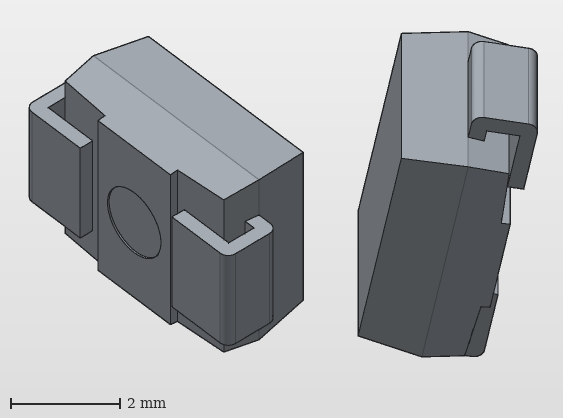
import cadquery as cq
import math


overall_length = 5.59
overall_height = 2.45
body_width = 3.94
body_length = 4.57

draft_angle = 7.0
parting_height = 1.23
standoff = 0.20
pad_length = 2.00
pad_root_height = 0.37
shoulder_height = 0.45
mark_diameter = 1.475
mark_depth = 0.04

lead_width = 2.21
lead_thickness = 0.305
lead_bend_radius = 0.20
foot_length = 1.53

draft_slope = math.tan(math.radians(draft_angle))


def drafted(half_size, height):
    """Half size of the body at a height, after draft away from the parting line."""
    return half_size - draft_slope * abs(height - parting_height)


def make_body():
    """Drafted body: the side outline in XY crossed with the end outline in ZY."""
    half_length = body_length / 2
    half_pad = pad_length / 2
    right_side = [
        (half_pad, standoff),
        (half_pad, pad_root_height),
        (drafted(half_length, shoulder_height), shoulder_height),
        (half_length, parting_height),
        (drafted(half_length, overall_height), overall_height),
    ]
    left_side = [(-x, y) for x, y in reversed(right_side)]
    side_prism = (
        cq.Workplane("XY")
        .polyline(right_side + left_side)
        .close()
        .extrude(body_width / 2, both=True)
    )

    half_width = body_width / 2
    upper_end = [
        (standoff, drafted(half_width, standoff)),
        (parting_height, half_width),
        (overall_height, drafted(half_width, overall_height)),
    ]
    lower_end = [(y, -z) for y, z in reversed(upper_end)]
    end_prism = (
        cq.Workplane("YZ")
        .polyline(upper_end + lower_end)
        .close()
        .extrude(body_length / 2, both=True)
    )
    return side_prism.intersect(end_prism)


def make_mark():
    """Shallow round recess in the central pad, as a cutting tool."""
    return (
        cq.Workplane("XZ", origin=(0, standoff + mark_depth, 0))
        .circle(mark_diameter / 2)
        .extrude(mark_depth)
    )


def make_right_lead():
    """C-shaped lead on the +X side, with its upper arm embedded in the body."""
    outer_x = overall_length / 2
    inner_x = outer_x - lead_thickness
    tip_x = outer_x - foot_length
    arm_bottom = parting_height - lead_thickness
    outline = [
        (tip_x, 0),
        (outer_x, 0),
        (outer_x, parting_height),
        (tip_x, parting_height),
        (tip_x, arm_bottom),
        (inner_x, arm_bottom),
        (inner_x, lead_thickness),
        (tip_x, lead_thickness),
    ]
    return (
        cq.Workplane("XY")
        .polyline(outline)
        .close()
        .extrude(lead_width / 2, both=True)
        .edges("|Z and >X")
        .fillet(lead_bend_radius)
    )


right_lead = make_right_lead()
left_lead = right_lead.mirror("YZ")
result = make_body().cut(make_mark()).union(right_lead).union(left_lead)